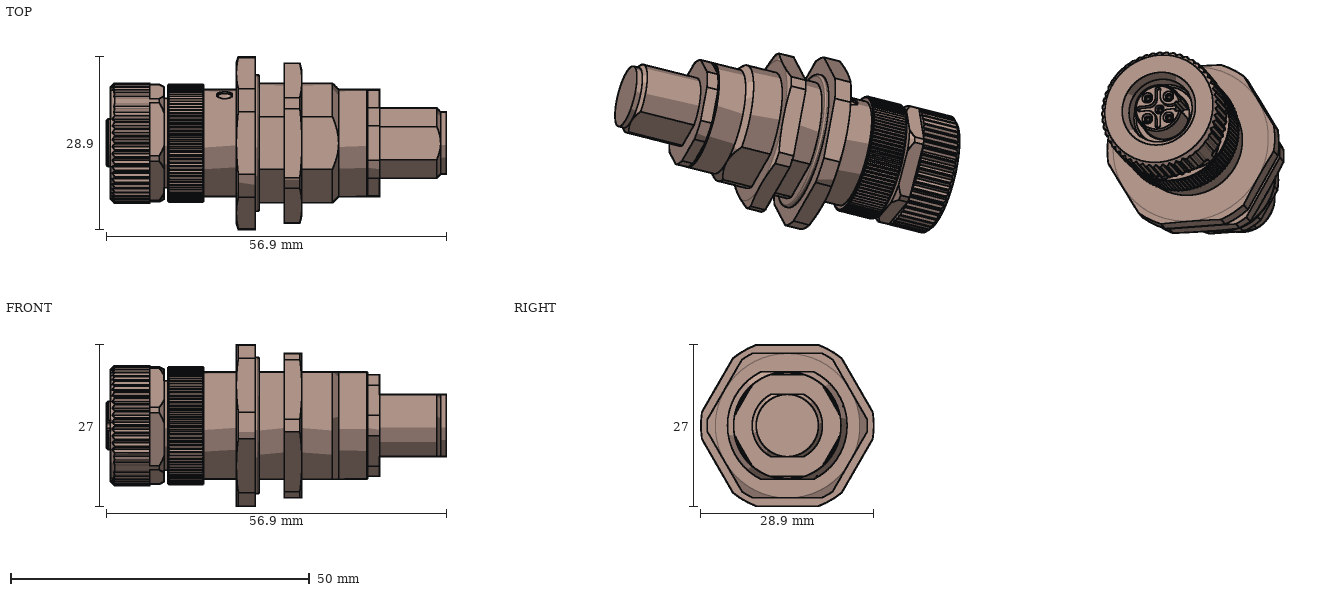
import cadquery as cq
import math


ring_start = 0.7
ring_knurl_end = 7.3
ring_end = 9.7
collar_start = 10.3
collar_end = 16.35
panel_nut_start = 21.75
panel_nut_end = 24.9
seal_end = 25.6
lock_nut_start = 29.75
lock_nut_end = 32.7
thread_end = 38.85
body_end = 43.75
end_hex_end = 45.75
overall_length = 56.9

ring_d = 20.1
ring_chamfer = 0.7
ring_hex_flats = 17.85
ring_hex_turn = 45.0
ring_hex_chamfer_length = 0.8
ring_hex_face_d = 18.8
ring_groove_count = 52
ring_groove_width = 0.95
ring_groove_depth = 0.35
shallow_groove_depth = 0.085
shallow_zone_half_angle = 17.0

socket_mouth_d = 12.7
socket_d = 10.9
socket_mouth_depth = 1.15
socket_floor = 5.1
seal_ring_outer_d = 10.2
seal_ring_inner_d = 8.3

insert_d = 8.1
insert_chamfer = 0.3
insert_embed = 0.55
contact_offset = 1.8
contact_hole_d = 1.1
contact_mouth_d = 1.75
centre_hole_d = 1.0
centre_mouth_d = 1.55
contact_mouth_depth = 0.3
contact_step_depth = 0.55
contact_bore_d = 0.7
contact_hole_depth = 2.3
drill_point_depth = 0.3
cross_slot_width = 0.85
cross_slot_length = 7.05
cross_slot_depth = 1.15
key_inner_radius = 2.85
key_width = 1.7
key_corner = 0.35

neck_d = 15.0
collar_d = 19.75
collar_chamfer = 0.2
collar_groove_count = 96
collar_groove_depth = 0.2

body_d = 18.0
body_chamfer = 0.15
thread_d = 20.05
seal_d = 22.9
seal_fillet = 0.35
dimple_d = 2.6
dimple_x = 19.8
dimple_angle = 26.0
dimple_depth = 1.0
dimple_cone_depth = 0.6

panel_nut_flats = 27.0
panel_nut_corners = 28.95
panel_nut_face_d = 26.85
lock_nut_flats = 24.2
lock_nut_corners = 26.8
lock_nut_face_d = 24.2
nut_chamfer_length = 0.35
end_hex_flats = 17.0

shaft_d = 11.8
shaft_flats = 10.4
shaft_chamfer_start = 55.3
shaft_chamfer_end = 55.95
shaft_end_d = 10.4


def plane_at(x):
    """Plane across the axis: local x is +Y, local y is +Z, normal is +X."""
    return cq.Plane(origin=(x, 0, 0), xDir=(0, 1, 0), normal=(1, 0, 0))


def cylinder(start, end, diameter):
    return cq.Workplane(plane_at(start)).circle(diameter / 2).extrude(end - start)


def cone(start, end, start_d, end_d):
    """Cone along the axis, pointed if end_d is zero."""
    outline = [(start, 0), (start, start_d / 2), (end, end_d / 2)]
    if end_d > 0:
        outline.append((end, 0))
    return cq.Workplane("XY").polyline(outline).close().revolve(360, (0, 0, 0), (1, 0, 0))


def hexagon(start, end, flats, corner_d, turn=0.0):
    """Hexagon with one corner turned from +Y, its corners rounded to corner_d."""
    sharp_d = flats / math.cos(math.pi / 6)
    prism = cq.Workplane(plane_at(start)).polygon(6, sharp_d).extrude(end - start)
    prism = prism.rotate((0, 0, 0), (1, 0, 0), turn)
    return prism.intersect(cylinder(start, end, corner_d))


def flatted_cylinder(start, end, diameter, flats):
    """Cylinder with flats facing +Z and -Z."""
    slab = cq.Workplane(plane_at(start)).rect(2 * diameter, flats).extrude(end - start)
    return cylinder(start, end, diameter).intersect(slab)


def v_grooves(start, end, diameter, width, depth, angles):
    """V-shaped cutters along the axis, one at each angle from +Y."""
    surface = math.sqrt((diameter / 2) ** 2 - (width / 2) ** 2)
    slope = 2 * depth / width
    outside = diameter / 2 + depth
    outside_half = width / 2 + (outside - surface) / slope
    cutters = []
    for angle in angles:
        a = math.radians(angle)
        corners = [(surface - depth, 0), (outside, outside_half), (outside, -outside_half)]
        points = [
            (r * math.cos(a) - t * math.sin(a), r * math.sin(a) + t * math.cos(a))
            for r, t in corners
        ]
        cutter = cq.Workplane(plane_at(start)).polyline(points).close().extrude(end - start)
        cutters.append(cutter.val())
    return cq.Workplane(cq.Compound.makeCompound(cutters))


def coupling_ring():
    knurl = cylinder(ring_start, ring_knurl_end, ring_d).faces("<X").chamfer(ring_chamfer)
    pitch = 360 / ring_groove_count
    deep_angles = []
    shallow_angles = []
    for i in range(ring_groove_count):
        angle = (i + 0.5) * pitch
        off_corner = abs((angle - ring_hex_turn + 90) % 180 - 90)
        if off_corner > shallow_zone_half_angle:
            deep_angles.append(angle)
        elif off_corner > pitch / 2:
            shallow_angles.append(angle)
    for depth, angles in ((ring_groove_depth, deep_angles), (shallow_groove_depth, shallow_angles)):
        knurl = knurl.cut(v_grooves(
            ring_start, ring_knurl_end, ring_d, ring_groove_width, depth, angles))

    chamfer_start = ring_end - ring_hex_chamfer_length
    hex_part = hexagon(ring_knurl_end, ring_end, ring_hex_flats, ring_d, ring_hex_turn)
    envelope = cylinder(ring_knurl_end, chamfer_start, ring_d).union(
        cone(chamfer_start, ring_end, ring_d, ring_hex_face_d))
    ring = knurl.union(hex_part.intersect(envelope))

    mouth_end = ring_start + socket_mouth_depth
    ring = ring.cut(cone(ring_start, mouth_end, socket_mouth_d, socket_d))
    return ring.cut(cylinder(mouth_end, socket_floor, socket_d))


def seal_ring():
    """Round-section ring half sunk in the socket floor, just clear of the insert."""
    section_d = (seal_ring_outer_d - seal_ring_inner_d) / 2
    centre_radius = (seal_ring_outer_d + seal_ring_inner_d) / 4
    section = cq.Workplane("XY").center(socket_floor, centre_radius).circle(section_d / 2)
    return section.revolve(360, (-socket_floor, -centre_radius, 0), (0.55 - socket_floor, -centre_radius, 0))


def contact_hole(x, y, z, hole_d, mouth_d):
    """Countersunk, stepped blind hole with a conical bottom, its mouth at the given point."""
    hole = cone(0, contact_mouth_depth, mouth_d, hole_d)
    hole = hole.union(cylinder(contact_mouth_depth, contact_step_depth, hole_d))
    hole = hole.union(cylinder(contact_step_depth, contact_hole_depth, contact_bore_d))
    hole = hole.union(cone(contact_hole_depth, contact_hole_depth + drill_point_depth, contact_bore_d, 0))
    return hole.translate((x, y, z))


def contact_insert():
    insert = cylinder(0, socket_floor + insert_embed, insert_d).faces("<X").chamfer(insert_chamfer)
    corners = [(sy * contact_offset, sz * contact_offset) for sy in (1, -1) for sz in (1, -1)]

    face = cq.Workplane(plane_at(0))
    flare_radius = contact_offset - cross_slot_width / 2
    flare = face.rect(2 * contact_offset, 2 * contact_offset).extrude(cross_slot_depth)
    flare = flare.cut(face.pushPoints(corners).circle(flare_radius).extrude(cross_slot_depth))
    insert = insert.cut(flare)
    for angle in (0, 90):
        slot = face.slot2D(cross_slot_length, cross_slot_width, angle)
        insert = insert.cut(slot.extrude(cross_slot_depth))

    half = key_width / 2
    outside = -insert_d
    keyway_points = [
        (outside, half),
        (-key_inner_radius - key_corner, half),
        (-key_inner_radius, half - key_corner),
        (-key_inner_radius, key_corner - half),
        (-key_inner_radius - key_corner, -half),
        (outside, -half),
    ]
    insert = insert.cut(face.polyline(keyway_points).close().extrude(socket_floor))

    for y, z in corners:
        insert = insert.cut(contact_hole(0, y, z, contact_hole_d, contact_mouth_d))
    return insert.cut(contact_hole(cross_slot_depth, 0, 0, centre_hole_d, centre_mouth_d))


def collar():
    """Collar knurled all round with sharp teeth, its end edges chamfered."""
    tip_radius = collar_d / 2
    half_pitch = math.pi / collar_groove_count
    points = []
    for i in range(2 * collar_groove_count):
        radius = tip_radius - collar_groove_depth * (i % 2)
        points.append((radius * math.cos(i * half_pitch), radius * math.sin(i * half_pitch)))
    length = collar_end - collar_start
    toothed = cq.Workplane(plane_at(collar_start)).polyline(points).close().extrude(length)
    envelope = cylinder(collar_start, collar_end, collar_d).edges().chamfer(collar_chamfer)
    return toothed.intersect(envelope)


def body():
    barrel = cylinder(collar_end, body_end, body_d).faces(">X").chamfer(body_chamfer)
    chamfer_start = thread_end - (thread_d - body_d) / 2
    thread = flatted_cylinder(seal_end, thread_end, thread_d, body_d)
    envelope = cylinder(seal_end, chamfer_start, thread_d).union(
        cone(chamfer_start, thread_end, thread_d, body_d))
    seal = cylinder(panel_nut_end, seal_end, seal_d).faces(">X").fillet(seal_fillet)

    apex = body_d / 2 - dimple_depth
    shoulder = apex + dimple_cone_depth
    outline = [(0, apex), (dimple_d / 2, shoulder), (dimple_d / 2, body_d), (0, body_d)]
    dimple = cq.Workplane("XY").polyline(outline).close().revolve(360, (0, 0, 0), (0, 1, 0))
    dimple = dimple.translate((dimple_x, 0, 0)).rotate((0, 0, 0), (1, 0, 0), dimple_angle)
    return barrel.cut(dimple).union(thread.intersect(envelope)).union(seal)


def panel_nut():
    nut = hexagon(panel_nut_start, panel_nut_end, panel_nut_flats, panel_nut_corners)
    chamfer_end = panel_nut_start + nut_chamfer_length
    envelope = cone(panel_nut_start, chamfer_end, panel_nut_face_d, panel_nut_corners)
    return nut.intersect(envelope.union(cylinder(chamfer_end, panel_nut_end, panel_nut_corners)))


def lock_nut():
    nut = hexagon(lock_nut_start, lock_nut_end, lock_nut_flats, lock_nut_corners)
    chamfer_start = lock_nut_end - nut_chamfer_length
    envelope = cone(chamfer_start, lock_nut_end, lock_nut_corners, lock_nut_face_d)
    return nut.intersect(envelope.union(cylinder(lock_nut_start, chamfer_start, lock_nut_corners)))


def cable_end():
    end_hex = hexagon(body_end, end_hex_end, end_hex_flats, body_d)
    shaft = flatted_cylinder(end_hex_end, shaft_chamfer_end, shaft_d, shaft_flats)
    envelope = cylinder(end_hex_end, shaft_chamfer_start, shaft_d).union(
        cone(shaft_chamfer_start, shaft_chamfer_end, shaft_d, shaft_end_d))
    tip = cylinder(shaft_chamfer_end, overall_length, shaft_end_d)
    return end_hex.union(shaft.intersect(envelope)).union(tip)


neck = cylinder(ring_end, collar_start, neck_d)

pieces = [
    seal_ring(),
    contact_insert(),
    neck,
    collar(),
    body(),
    panel_nut(),
    lock_nut(),
    cable_end(),
]

result = coupling_ring()
for piece in pieces:
    result = result.union(piece)